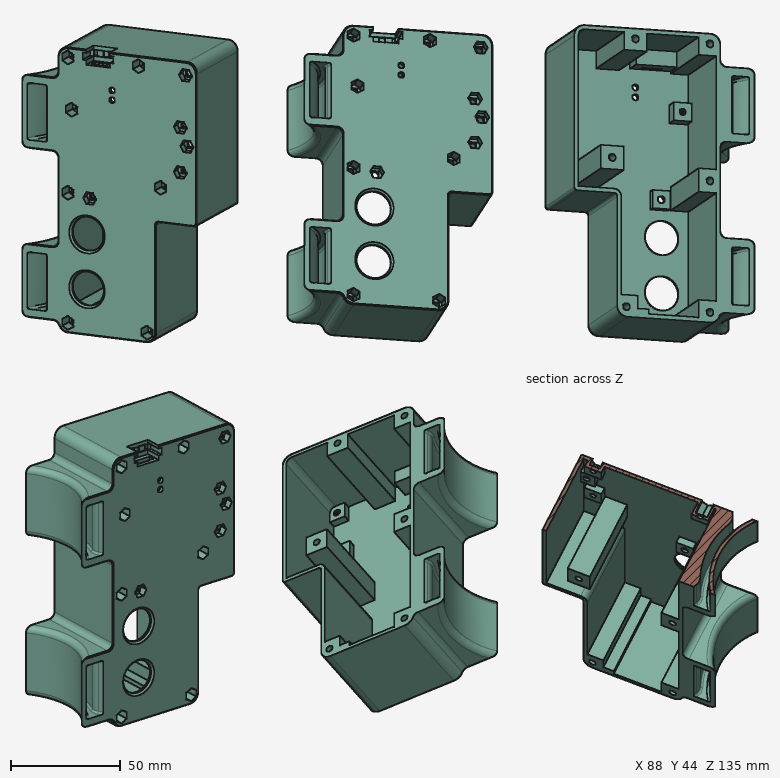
import math

import cadquery as cq

WIDTH = 88.0
DEPTH = 44.0
HEIGHT = 135.0
WALL = 2.0
FRONT_CHAMFER = 0.5

BODY_LEFT = 18.0
LOWER_RIGHT = 67.5
STEP_Z = 57.5
BODY_RADIUS = 5.0
STEP_RADIUS = 1.5

SELECT_MARGIN = 0.1
OVERCUT = 2.0

TAB_HEIGHT = 35.0
TAB_BOTTOMS = (5.0, 85.0)
TAB_FILLET = 3.0
TUBE_RADIUS = 35.0
TUBE_Y = 23.0
TUBE_X = -math.sqrt(TUBE_RADIUS**2 - TUBE_Y**2)

SLOT_HEIGHT = 27.0
SLOT_INNER_RADIUS = TUBE_RADIUS + 2.0
SLOT_OUTER_RADIUS = SLOT_INNER_RADIUS + 4.0
SLOT_MOUTH_X = 12.5
SLOT_FLARE_ANGLE = 26.0
SLOT_FLARE_DEPTH = 9.0
SLOT_BEND_RADIUS = 5.0
SLOT_EDGE_FILLET = 1.0

NUT_DIAMETER = 6.5
BRIDGE_STEP = 0.3
WIDE_SCREW_HOLE = 3.3
NARROW_SCREW_HOLE = 2.8
DEEP_NUT_DEPTH = 7.0
SHALLOW_NUT_DEPTH = 3.5
CASE_BOSS_SIZE = 11.0
BOARD_BOSS_SIZE = 8.5
CASE_SCREWS = ((23.0, 130.2), (58.7, 130.2), (69.8, 74.0), (23.0, 66.2), (23.0, 4.7), (63.0, 4.7))
DEEP_BOARD_SCREWS = ((24.9, 105.7),)
WIDE_BOARD_SCREWS = ((82.4, 128.6), (83.1, 95.0), (34.0, 64.8))
NARROW_BOARD_SCREWS = ((79.8, 103.7), (79.8, 82.4))

BUTTON_X = 32.7
BUTTON_ZS = (21.8, 47.7)
BUTTON_DIAMETER = 16.0
BUTTON_CHAMFER = 1.0
LAMP_X = 45.3
LAMP_ZS = (112.6, 117.2)
LAMP_DIAMETER = 2.8

LEDGE_LEFT = 52.3
LEDGE_TOP = 4.2

NOTCH_LEFT = 32.2
NOTCH_RIGHT = 44.2
NOTCH_DEPTH = 8.0
NOTCH_FLOOR = 127.8
GROOVE_OVERHANG = 1.75
GROOVE_BOTTOM = 130.0
GROOVE_TOP = 133.4
PIN_POCKETS = ((NOTCH_LEFT, 33.9), (36.8, 39.7), (42.9, NOTCH_RIGHT))
PIN_GROOVE_TOP = 133.0
PIN_GROOVE_DEPTH = 0.5
PIN_POCKET_DEPTH = 1.5
WINDOW_LEFT = 33.8
WINDOW_RIGHT = 43.1
WINDOW_FRONT = 2.4
WINDOW_BACK = 5.4


def box(x0, x1, y0, y1, z0, z1):
    return cq.Workplane("XY").box(x1 - x0, y1 - y0, z1 - z0, centered=False).translate((x0, y0, z0))


def front_plane(y):
    """Workplane at depth y whose local axes are X and Z; a negative extrusion runs toward +Y."""
    return cq.Workplane("XZ", origin=(0, y, 0))


def cylinder(x, z, diameter, y0, y1):
    return front_plane(y0).center(x, z).circle(diameter / 2).extrude(y0 - y1)


def square_boss(x, z, size, y1):
    return front_plane(0).center(x, z).rect(size, size).extrude(-y1)


def select_box(x0, x1, y0, y1, z0, z1):
    """Selector for the edges whose centre lies inside the box, widened by the margin."""
    low = cq.Vector(x0, y0, z0) - cq.Vector(SELECT_MARGIN, SELECT_MARGIN, SELECT_MARGIN)
    high = cq.Vector(x1, y1, z1) + cq.Vector(SELECT_MARGIN, SELECT_MARGIN, SELECT_MARGIN)
    return cq.selectors.BoxSelector(low.toTuple(), high.toTuple())


def fillet_at(solid, x, z, radius):
    """Round the edge along Y that passes through x, z."""
    return solid.edges("|Y").edges(select_box(x, x, 0, DEPTH, z, z)).fillet(radius)


def body_prism(inset, y0):
    """Body without its tabs, shrunk by inset, from depth y0 to the open back."""
    left = BODY_LEFT + inset
    right = WIDTH - inset
    lower_right = LOWER_RIGHT - inset
    bottom = inset
    top = HEIGHT - inset
    step = STEP_Z + inset
    lower_corners = [(left, bottom), (lower_right, bottom)]
    step_corners = [(lower_right, step), (right, step)]
    upper_corners = [(right, top), (left, top)]
    outline = lower_corners + step_corners + upper_corners
    solid = front_plane(y0).polyline(outline).close().extrude(y0 - DEPTH)
    for x, z in lower_corners + upper_corners:
        solid = fillet_at(solid, x, z, BODY_RADIUS - inset)
    solid = fillet_at(solid, lower_right, step, STEP_RADIUS + inset)
    if inset < STEP_RADIUS:
        solid = fillet_at(solid, right, step, STEP_RADIUS - inset)
    return solid


def root_fillet(tab_z, side):
    """Fillet web between the body and the upper (side = 1) or lower (side = -1) face of a tab."""
    centre_x = BODY_LEFT - TAB_FILLET
    centre_z = tab_z + side * TAB_FILLET
    end_x = BODY_LEFT
    end_z = centre_z
    if centre_z < BODY_RADIUS:
        reach = BODY_RADIUS + TAB_FILLET
        drop = BODY_RADIUS - centre_z
        run = math.sqrt(reach**2 - drop**2)
        centre_x = BODY_LEFT + BODY_RADIUS - run
        end_x = centre_x + run * TAB_FILLET / reach
        end_z = centre_z + drop * TAB_FILLET / reach
    start_angle = -side * math.pi / 2
    end_angle = math.atan2(end_z - centre_z, end_x - centre_x)
    mid_angle = (start_angle + end_angle) / 2
    mid = (centre_x + TAB_FILLET * math.cos(mid_angle), centre_z + TAB_FILLET * math.sin(mid_angle))
    inside_x = BODY_LEFT + BODY_RADIUS
    web = front_plane(0).moveTo(centre_x, tab_z).threePointArc(mid, (end_x, end_z))
    return web.lineTo(inside_x, end_z).lineTo(inside_x, tab_z).close().extrude(-DEPTH)


def square_tab(z0):
    """Tab with a flat left end, joined to the body by its two webs."""
    z1 = z0 + TAB_HEIGHT
    block = box(-TAB_FILLET, BODY_LEFT + BODY_RADIUS, 0, DEPTH, z0, z1)
    return block.union(root_fillet(z0, -1)).union(root_fillet(z1, 1))


def outer_shape():
    """Body with its tabs, chamfered around the front face and trimmed to the tube."""
    shape = body_prism(0, 0)
    for z0 in TAB_BOTTOMS:
        shape = shape.union(square_tab(z0))
    outline = select_box(0, WIDTH, 0, 0, 0, HEIGHT)
    shape = shape.faces("<Y").edges().edges(outline).chamfer(FRONT_CHAMFER)
    tube = cq.Workplane("XY", origin=(TUBE_X, TUBE_Y, 0)).circle(TUBE_RADIUS).extrude(HEIGHT)
    shape = shape.cut(tube)
    shape = shape.cut(box(TUBE_X, 0, TUBE_Y, DEPTH, 0, HEIGHT))
    for z0 in TAB_BOTTOMS:
        for z in (z0, z0 + TAB_HEIGHT):
            rim = select_box(0, BODY_LEFT, FRONT_CHAMFER, DEPTH, z, z)
            shape = shape.edges("%CIRCLE").edges(rim).fillet(TAB_FILLET)
    return shape


def slot_ring(radius):
    return cq.Workplane("XY").center(TUBE_X, TUBE_Y).circle(radius).extrude(SLOT_HEIGHT)


def slot_flare(mouth_y, inward):
    """Wedge that widens the slot at one mouth; inward is the Y direction into the part."""
    slope = math.tan(math.radians(SLOT_FLARE_ANGLE))
    outside_y = mouth_y - inward * OVERCUT
    inside_y = mouth_y + inward * SLOT_FLARE_DEPTH
    outside_x = SLOT_MOUTH_X + OVERCUT * slope
    inside_x = SLOT_MOUTH_X - SLOT_FLARE_DEPTH * slope
    corners = [(TUBE_X, outside_y), (outside_x, outside_y), (inside_x, inside_y), (TUBE_X, inside_y)]
    return cq.Workplane("XY").polyline(corners).close().extrude(SLOT_HEIGHT)


def strap_slot(z0):
    """Arc-shaped slot; the outer wall bends away near both ends to widen the mouths."""
    slot = slot_ring(SLOT_OUTER_RADIUS)
    slot = slot.union(slot_flare(0, 1)).union(slot_flare(DEPTH, -1))
    slot = slot.intersect(box(TUBE_X, BODY_LEFT, -OVERCUT, DEPTH + OVERCUT, 0, SLOT_HEIGHT))
    ridges = select_box(0, SLOT_MOUTH_X, 0, DEPTH, 0, SLOT_HEIGHT)
    slot = slot.edges("|Z").edges(ridges).fillet(SLOT_BEND_RADIUS)
    slot = slot.cut(slot_ring(SLOT_INNER_RADIUS))
    slot = slot.faces("<Z or >Z").edges().fillet(SLOT_EDGE_FILLET)
    return slot.translate((0, 0, z0 + (TAB_HEIGHT - SLOT_HEIGHT) / 2))


def nut_hole(x, z, hole, nut_depth, point_up):
    """Through hole with a nut pocket that narrows in two bridging steps: a slot, then a square."""

    def hexagon(depth):
        prism = front_plane(0).polygon(6, NUT_DIAMETER).extrude(-depth)
        if point_up:
            return prism.rotate((0, 0, 0), (0, 1, 0), 90)
        return prism

    slot_depth = nut_depth + BRIDGE_STEP
    square_depth = slot_depth + BRIDGE_STEP
    slot = front_plane(0).rect(NUT_DIAMETER, hole).extrude(-slot_depth).intersect(hexagon(slot_depth))
    square = front_plane(0).rect(hole, hole).extrude(-square_depth)
    pocket = hexagon(nut_depth).union(slot).union(square).translate((x, 0, z))
    return pocket.union(cylinder(x, z, hole, 0, DEPTH))


def button_hole(z):
    bore = cylinder(BUTTON_X, z, BUTTON_DIAMETER, 0, WALL)
    flare = cq.Solid.makeCone(
        BUTTON_DIAMETER / 2 + BUTTON_CHAMFER,
        BUTTON_DIAMETER / 2,
        BUTTON_CHAMFER,
        cq.Vector(BUTTON_X, 0, z),
        cq.Vector(0, 1, 0),
    )
    return bore.union(cq.Workplane(flare))


def notch_housing():
    margin = GROOVE_OVERHANG + WALL
    back = NOTCH_DEPTH + PIN_POCKET_DEPTH + WALL
    return box(NOTCH_LEFT - margin, NOTCH_RIGHT + margin, 0, back, NOTCH_FLOOR - WALL, HEIGHT - WALL)


def connector_notch():
    notch = box(NOTCH_LEFT, NOTCH_RIGHT, 0, NOTCH_DEPTH, NOTCH_FLOOR, HEIGHT)
    groove_left = NOTCH_LEFT - GROOVE_OVERHANG
    groove_right = NOTCH_RIGHT + GROOVE_OVERHANG
    notch = notch.union(box(groove_left, groove_right, 0, NOTCH_DEPTH, GROOVE_BOTTOM, GROOVE_TOP))
    pin_groove_back = NOTCH_DEPTH + PIN_GROOVE_DEPTH
    notch = notch.union(box(NOTCH_LEFT, NOTCH_RIGHT, 0, pin_groove_back, GROOVE_BOTTOM, PIN_GROOVE_TOP))
    for x0, x1 in PIN_POCKETS:
        pocket = box(x0, x1, 0, NOTCH_DEPTH + PIN_POCKET_DEPTH, GROOVE_BOTTOM, PIN_GROOVE_TOP)
        notch = notch.union(pocket)
    window = box(WINDOW_LEFT, WINDOW_RIGHT, WINDOW_FRONT, WINDOW_BACK, NOTCH_FLOOR - WALL, NOTCH_FLOOR)
    return notch.union(window)


def cavity():
    """Space behind the front wall, leaving the bosses, the ledge and the notch housing standing."""
    space = body_prism(WALL, WALL)
    for x, z in CASE_SCREWS:
        space = space.cut(square_boss(x, z, CASE_BOSS_SIZE, DEPTH))
    for x, z in DEEP_BOARD_SCREWS:
        space = space.cut(square_boss(x, z, BOARD_BOSS_SIZE, DEEP_NUT_DEPTH + WALL))
    for x, z in WIDE_BOARD_SCREWS + NARROW_BOARD_SCREWS:
        space = space.cut(square_boss(x, z, BOARD_BOSS_SIZE, SHALLOW_NUT_DEPTH + WALL))
    space = space.cut(box(LEDGE_LEFT, LOWER_RIGHT, 0, DEPTH, 0, LEDGE_TOP))
    return space.cut(notch_housing())


shape = outer_shape().cut(cavity())
for tab_bottom in TAB_BOTTOMS:
    shape = shape.cut(strap_slot(tab_bottom))
for x, z in CASE_SCREWS:
    shape = shape.cut(nut_hole(x, z, WIDE_SCREW_HOLE, DEEP_NUT_DEPTH, True))
for x, z in DEEP_BOARD_SCREWS:
    shape = shape.cut(nut_hole(x, z, NARROW_SCREW_HOLE, DEEP_NUT_DEPTH, True))
for x, z in WIDE_BOARD_SCREWS:
    shape = shape.cut(nut_hole(x, z, WIDE_SCREW_HOLE, SHALLOW_NUT_DEPTH, False))
for x, z in NARROW_BOARD_SCREWS:
    shape = shape.cut(nut_hole(x, z, NARROW_SCREW_HOLE, SHALLOW_NUT_DEPTH, False))
for z in BUTTON_ZS:
    shape = shape.cut(button_hole(z))
for z in LAMP_ZS:
    shape = shape.cut(cylinder(LAMP_X, z, LAMP_DIAMETER, 0, WALL))
result = shape.cut(connector_notch())